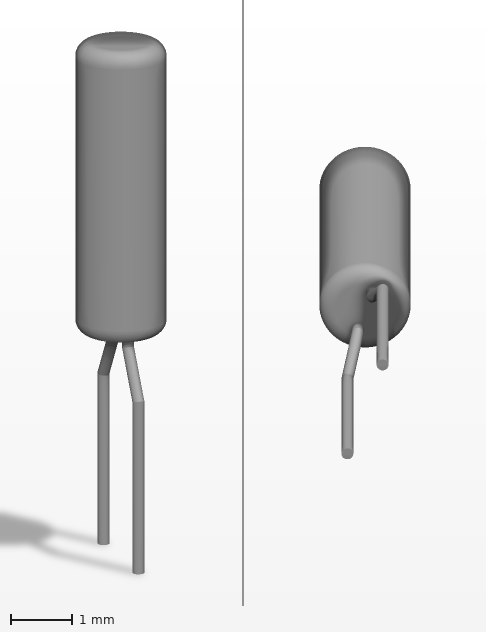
import cadquery as cq

total_height = 8.86
lead_span = 1.9

can_diameter = 1.5
can_height = 5.0
can_edge_radius = 0.25

lead_diameter = 0.195
lead_root_offset = 0.345
root_bend_drop = 0.14
foot_bend_drop = 0.93
lead_embed = 0.09

can_bottom = total_height - can_height
lead_foot_offset = (lead_span - lead_diameter) / 2


def make_can():
    can = cq.Workplane("XY").workplane(offset=can_bottom).circle(can_diameter / 2).extrude(can_height)
    return can.faces("<Z or >Z").edges().fillet(can_edge_radius)


def make_lead(side):
    """Round wire with two mitred bends; side is -1 or +1 along X."""
    root_x = side * lead_root_offset
    foot_x = side * lead_foot_offset
    path = cq.Workplane("XZ").polyline([
        (foot_x, 0),
        (foot_x, can_bottom - foot_bend_drop),
        (root_x, can_bottom - root_bend_drop),
        (root_x, can_bottom + lead_embed),
    ])
    profile = cq.Workplane("XY").center(foot_x, 0).circle(lead_diameter / 2)
    return profile.sweep(path, transition="right")


result = make_can()
for side in (-1, 1):
    result = result.union(make_lead(side))